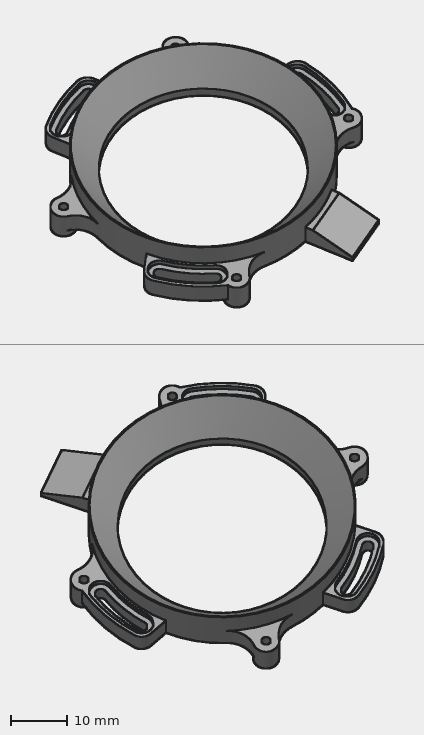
import cadquery as cq
import math

ring_radius = 47.6 / 2
ring_height = 8.4
bore_radius = 37.2 / 2
bore_straight_height = 2.0
rim_width = 0.2

flange_height = 4.0

side_ear_angle = 68
ear_angles = (180, side_ear_angle, -side_ear_angle)
ear_outer_radius = 29.2
ear_half_width = 7.75
ear_corner_radius = 2.35
slot_path_radius = 26.4
slot_half_angle = 11
slot_width = 2.05
recess_width = 4.2
recess_depth = 1.0

lug_pattern_center_x = 0.55
lug_offset_x = 17.5
lug_offset_y = 21.1
lug_radius = 4.7 / 2
lug_hole_diameter = 1.6
lug_blend_radius = 4.95
pin_length = 1.5

tab_end_x = 32.8
tab_slope_start_x = 24.8
tab_width = 9.9
tab_tip_height = 1.0


def polar(radius, degrees):
    angle = math.radians(degrees)
    return (radius * math.cos(angle), radius * math.sin(angle))


def arc_slot(width, bottom, height):
    """Round-ended slot bent around the ring axis, centred on +X."""
    inner = slot_path_radius - width / 2
    outer = slot_path_radius + width / 2
    center_x, center_y = polar(slot_path_radius, slot_half_angle)
    shift_x, shift_y = polar(width / 2, slot_half_angle + 90)
    tip_x = center_x + shift_x
    tip_y = center_y + shift_y
    return (
        cq.Workplane("XY", origin=(0, 0, bottom))
        .moveTo(*polar(inner, -slot_half_angle))
        .threePointArc((inner, 0), polar(inner, slot_half_angle))
        .threePointArc((tip_x, tip_y), polar(outer, slot_half_angle))
        .threePointArc((outer, 0), polar(outer, -slot_half_angle))
        .threePointArc((tip_x, -tip_y), polar(inner, -slot_half_angle))
        .close()
        .extrude(height)
    )


def ear(rounded_sides):
    """Ear on +X with a round outer face; the corners on the given Y sides are rounded."""
    corner_x = math.sqrt(ear_outer_radius**2 - ear_half_width**2)
    block = (
        cq.Workplane("XY")
        .moveTo(bore_radius, -ear_half_width)
        .lineTo(corner_x, -ear_half_width)
        .threePointArc((ear_outer_radius, 0), (corner_x, ear_half_width))
        .lineTo(bore_radius, ear_half_width)
        .close()
        .extrude(flange_height)
    )
    for side in rounded_sides:
        corner = cq.selectors.NearestToPointSelector((corner_x, side * ear_half_width, flange_height / 2))
        block = block.edges("|Z").edges(corner).fillet(ear_corner_radius)
    return block


def lug(center_distance):
    """Lug centred on +X whose flanks are arcs tangent to its round end and to the ring."""
    to_ring = ring_radius + lug_blend_radius
    to_lug = lug_radius + lug_blend_radius
    blend_x = (to_ring**2 + center_distance**2 - to_lug**2) / (2 * center_distance)
    blend_y = math.sqrt(to_ring**2 - blend_x**2)
    ring_x = blend_x * ring_radius / to_ring
    ring_y = blend_y * ring_radius / to_ring
    end_x = center_distance + (blend_x - center_distance) * lug_radius / to_lug
    end_y = blend_y * lug_radius / to_lug
    chord_x = (ring_x + end_x) / 2 - blend_x
    chord_y = (ring_y + end_y) / 2 - blend_y
    reach = lug_blend_radius / math.hypot(chord_x, chord_y)
    middle_x = blend_x + chord_x * reach
    middle_y = blend_y + chord_y * reach
    web = (
        cq.Workplane("XY")
        .moveTo(ring_x, -ring_y)
        .threePointArc((middle_x, -middle_y), (end_x, -end_y))
        .threePointArc((center_distance + lug_radius, 0), (end_x, end_y))
        .threePointArc((middle_x, middle_y), (ring_x, ring_y))
        .lineTo(bore_radius, 0)
        .close()
        .extrude(flange_height)
    )
    pin = (
        cq.Workplane("XY", origin=(center_distance, 0, -pin_length))
        .circle(lug_radius)
        .extrude(pin_length + flange_height)
    )
    return web.union(pin)


def turned(body, degrees):
    return body.rotate((0, 0, 0), (0, 0, 1), degrees)


body = cq.Workplane("XY").circle(ring_radius).extrude(ring_height)
body = body.union(turned(ear((-1, 1)), 180))
body = body.union(turned(ear((1,)), side_ear_angle))
body = body.union(turned(ear((-1,)), -side_ear_angle))

lug_centers = [
    (lug_pattern_center_x + side_x * lug_offset_x, side_y * lug_offset_y)
    for side_x in (-1, 1)
    for side_y in (-1, 1)
]
for x, y in lug_centers:
    body = body.union(turned(lug(math.hypot(x, y)), math.degrees(math.atan2(y, x))))

tab = (
    cq.Workplane("XZ")
    .moveTo(bore_radius, 0)
    .lineTo(tab_end_x, 0)
    .lineTo(tab_end_x, tab_tip_height)
    .lineTo(tab_slope_start_x, flange_height)
    .lineTo(bore_radius, flange_height)
    .close()
    .extrude(tab_width / 2, both=True)
)
body = body.union(tab)

bore = (
    cq.Workplane("XZ")
    .lineTo(bore_radius, 0)
    .lineTo(bore_radius, bore_straight_height)
    .lineTo(ring_radius - rim_width, ring_height)
    .lineTo(0, ring_height)
    .close()
    .revolve(360, (0, 0, 0), (0, 1, 0))
)
body = body.cut(bore)

slot = arc_slot(slot_width, 0, flange_height)
recess = arc_slot(recess_width, flange_height - recess_depth, recess_depth)
for angle in ear_angles:
    body = body.cut(turned(slot.union(recess), angle))

lug_holes = (
    cq.Workplane("XY", origin=(0, 0, -pin_length))
    .pushPoints(lug_centers)
    .circle(lug_hole_diameter / 2)
    .extrude(pin_length + flange_height)
)
result = body.cut(lug_holes)